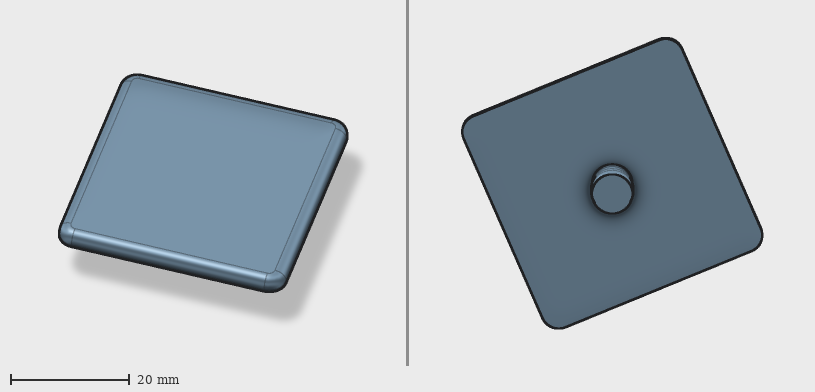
import cadquery as cq

plate_side = 40.0
plate_thickness = 2.5
corner_radius = 3.0
top_edge_radius = 2.0

stem_diameter = 6.85
collar_diameter = 7.2
neck_length = 1.5
flare_length = 2.0
collar_width = 1.0

neck_end_z = -neck_length
collar_top_z = neck_end_z - flare_length
collar_bottom_z = collar_top_z - collar_width
stem_end_z = collar_bottom_z - flare_length


def make_plate():
    """Square plate with rounded corners and a rounded top rim."""
    block = cq.Workplane("XY").rect(plate_side, plate_side).extrude(plate_thickness)
    rounded_block = block.edges("|Z").fillet(corner_radius)
    return rounded_block.faces(">Z").edges().fillet(top_edge_radius)


def make_stem():
    """Turned stem: plain neck, then a collar between two shallow concave flares."""
    stem_radius = stem_diameter / 2
    collar_radius = collar_diameter / 2

    flare_rise = collar_radius - stem_radius
    flare_radius = (flare_length**2 + flare_rise**2) / (2 * flare_rise)
    half_length = flare_length / 2
    flare_mid_radius = stem_radius + flare_radius - (flare_radius**2 - half_length**2) ** 0.5

    upper_flare_middle = (flare_mid_radius, neck_end_z - half_length)
    lower_flare_middle = (flare_mid_radius, stem_end_z + half_length)

    profile = (
        cq.Workplane("XZ")
        .lineTo(stem_radius, 0)
        .lineTo(stem_radius, neck_end_z)
        .threePointArc(upper_flare_middle, (collar_radius, collar_top_z))
        .lineTo(collar_radius, collar_bottom_z)
        .threePointArc(lower_flare_middle, (stem_radius, stem_end_z))
        .lineTo(0, stem_end_z)
        .close()
    )
    return profile.revolve(360, (0, 0, 0), (0, 1, 0))


result = make_plate().union(make_stem())